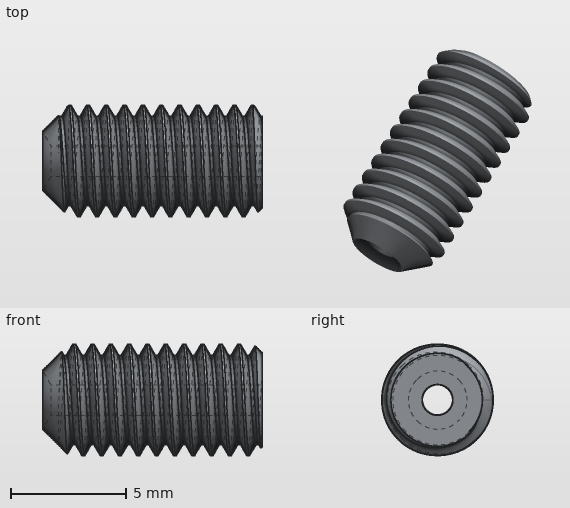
import cadquery as cq
import math

length = 9.53
major_radius = 2.416
pitch = length / 12
root_radius = 1.94
crest_width = pitch / 8
flank_half_angle = math.radians(30)
crest_start = 1.17

cup_rim_radius = 1.27
hole_radius = 0.66
cup_depth = 0.35
back_end_radius = 2.02

clearance = 0.05
turns_before_start = 1
turn_count = 13


def screw_envelope():
    """Solid of revolution with a 45-degree point and back chamfer."""
    point_length = major_radius - cup_rim_radius
    back_chamfer = major_radius - back_end_radius
    return (
        cq.Workplane("XY")
        .moveTo(0, 0)
        .lineTo(0, cup_rim_radius)
        .lineTo(point_length, major_radius)
        .lineTo(length - back_chamfer, major_radius)
        .lineTo(length, back_end_radius)
        .lineTo(length, 0)
        .close()
        .revolve(360, (0, 0, 0), (1, 0, 0))
    )


def groove_turn():
    """One turn of a right-handed V groove with a flat root, built along Z then turned to X."""
    outer_radius = major_radius + clearance
    half_crest = crest_width / 2
    half_outer = pitch / 2 - half_crest + clearance * math.tan(flank_half_angle)
    half_root = half_outer - (outer_radius - root_radius) * math.tan(flank_half_angle)
    helix = cq.Wire.makeHelix(pitch, pitch, root_radius)
    groove = (
        cq.Workplane("XZ")
        .polyline([
            (root_radius, -half_root),
            (outer_radius, -half_outer),
            (outer_radius, half_outer),
            (root_radius, half_root),
        ])
        .close()
        .sweep(cq.Workplane(obj=helix), isFrenet=True)
    )
    groove = groove.rotate((0, 0, 0), (1, 1, 1), 120)
    return groove.translate((crest_start - (turns_before_start + 0.5) * pitch, 0, 0))


def cup_and_hole():
    """Conical cup that narrows into the through hole."""
    return (
        cq.Workplane("XY")
        .moveTo(0, 0)
        .lineTo(0, cup_rim_radius)
        .lineTo(cup_depth, hole_radius)
        .lineTo(length, hole_radius)
        .lineTo(length, 0)
        .close()
        .revolve(360, (0, 0, 0), (1, 0, 0))
    )


def cut_thread(body):
    """Cut the thread turn by turn, each one pitch further along X."""
    turn = groove_turn()
    for index in range(turn_count):
        body = body.cut(turn.translate((index * pitch, 0, 0)))
    return body


result = cut_thread(screw_envelope()).cut(cup_and_hole())